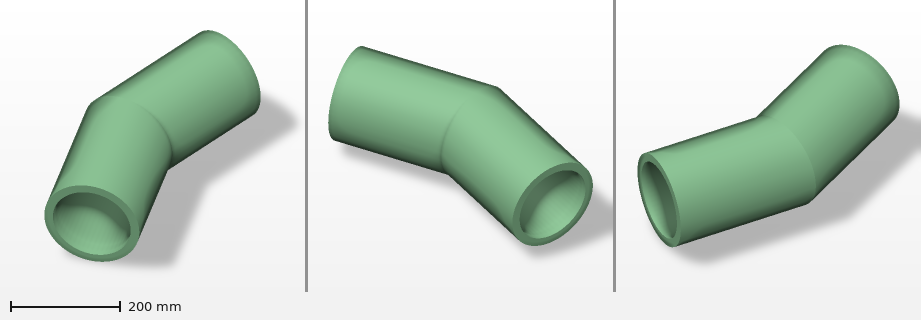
import cadquery as cq
import math

overall_length = 511.5
outer_diameter = 180.0
inner_diameter = 147.5
bend_angle = math.radians(30)

end_overhang = outer_diameter / 2 * math.sin(bend_angle)
leg_length = (overall_length - end_overhang) / (1 + math.cos(bend_angle))

mitre_angle = bend_angle / 2
mitre_plane = cq.Plane(
    origin=(0, leg_length, 0),
    xDir=(math.cos(mitre_angle), -math.sin(mitre_angle), 0),
    normal=(math.sin(mitre_angle), math.cos(mitre_angle), 0),
)
mitre_allowance = outer_diameter


def mitred_leg():
    """Straight pipe along +Y with its far end cut on the mitre plane."""
    pipe = (
        cq.Workplane("XZ")
        .circle(outer_diameter / 2)
        .circle(inner_diameter / 2)
        .extrude(-(leg_length + mitre_allowance))
    )
    trim_size = 2 * (outer_diameter + mitre_allowance)
    trim_block = cq.Workplane(mitre_plane).rect(trim_size, trim_size).extrude(trim_size)
    return pipe.cut(trim_block)


def reflected_at_mitre(leg):
    """Mirror image of a leg across the plane mid-way through the bend.

    The reflection turns the inlet leg's axis from +Y into the outlet direction.
    """
    return leg.mirror(mitre_plane.zDir, mitre_plane.origin)


inlet_leg = mitred_leg()
outlet_leg = reflected_at_mitre(inlet_leg)
result = inlet_leg.union(outlet_leg)